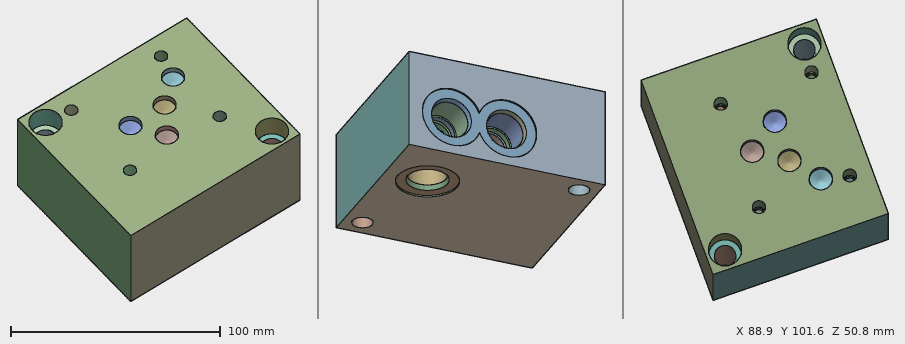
import cadquery as cq
import math

LENGTH_X = 88.9
LENGTH_Y = 101.6
HEIGHT = 50.8

MOUNT_INSET = 9.5
MOUNT_DIAMETER = 10.3
COUNTERBORE_DIAMETER = 15.8
COUNTERBORE_DEPTH = 12.2

MIDDLE_Y = LENGTH_Y / 2
SCREW_X = 11.1
SCREW_PITCH_X = 46.0
SCREW_PITCH_Y = 54.0
SCREW_THREAD_DIAMETER = 6.3
SCREW_DRILL_DIAMETER = 5.1
SCREW_THREAD_DEPTH = 12.2
SCREW_DRILL_DEPTH = 15.2

VALVE_PORT_DIAMETER = 11.1
VALVE_PORT_DEPTH = 3.1
PRESSURE_X = 50.8
WORK_X = 35.7
WORK_OFFSET_Y = 10.3
TANK_X = 24.6
TANK_OFFSET_Y = 23.8

SPOTFACE_DIAMETER = 30.6
SPOTFACE_DEPTH = 0.8
SEAT_MOUTH_DIAMETER = 20.6
SEAT_ROOT_DIAMETER = 19.2
SEAT_DEPTH = 2.5
THREAD_DIAMETER = 19.1
THREAD_DEPTH = 17.4
TAP_DIAMETER = 17.5
TAP_DEPTH = 20.7
BORE_DIAMETER = 15.8
BORE_DEPTH = 25.5

LINE_PORT_Z = 19.8
LINE_PORT_PITCH = 28.5
TANK_LINE_Y = MIDDLE_Y + LINE_PORT_PITCH
BASE_PORT_X = 30.0

DRILL_POINT_ANGLE = 118.0


def cone_height(radius):
    """Height of a drill point of the given radius."""
    return radius / math.tan(math.radians(DRILL_POINT_ANGLE / 2))


def turned(profile):
    """Cutter revolved about Z from (radius, depth) points; depth runs down from the origin."""
    points = [(0, 0)] + [(radius, -depth) for radius, depth in profile]
    return cq.Workplane("XZ").polyline(points).close().revolve(360, (0, 0), (0, 1))


def valve_port():
    radius = VALVE_PORT_DIAMETER / 2
    tip = VALVE_PORT_DEPTH + cone_height(radius)
    return turned([(radius, 0), (radius, VALVE_PORT_DEPTH), (0, tip)])


def screw_hole():
    thread_radius = SCREW_THREAD_DIAMETER / 2
    drill_radius = SCREW_DRILL_DIAMETER / 2
    return turned([
        (thread_radius, 0),
        (thread_radius, SCREW_THREAD_DEPTH),
        (drill_radius, SCREW_THREAD_DEPTH),
        (drill_radius, SCREW_DRILL_DEPTH),
        (0, SCREW_DRILL_DEPTH + cone_height(drill_radius)),
    ])


def line_port():
    tap_radius = TAP_DIAMETER / 2
    bore_radius = BORE_DIAMETER / 2
    seat_end = SPOTFACE_DEPTH + SEAT_DEPTH
    return turned([
        (SPOTFACE_DIAMETER / 2, 0),
        (SPOTFACE_DIAMETER / 2, SPOTFACE_DEPTH),
        (SEAT_MOUTH_DIAMETER / 2, SPOTFACE_DEPTH),
        (SEAT_ROOT_DIAMETER / 2, seat_end),
        (THREAD_DIAMETER / 2, seat_end),
        (THREAD_DIAMETER / 2, THREAD_DEPTH),
        (tap_radius, THREAD_DEPTH),
        (tap_radius, TAP_DEPTH),
        (bore_radius, TAP_DEPTH + cone_height(tap_radius - bore_radius)),
        (bore_radius, BORE_DEPTH),
        (0, BORE_DEPTH + cone_height(bore_radius)),
    ])


block = cq.Workplane("XY").box(LENGTH_X, LENGTH_Y, HEIGHT, centered=False)

mount_points = [(MOUNT_INSET, MOUNT_INSET), (LENGTH_X - MOUNT_INSET, LENGTH_Y - MOUNT_INSET)]
block = (
    block.faces(">Z")
    .workplane(origin=(0, 0, HEIGHT))
    .pushPoints(mount_points)
    .cboreHole(MOUNT_DIAMETER, COUNTERBORE_DIAMETER, COUNTERBORE_DEPTH)
)

for x in (SCREW_X, SCREW_X + SCREW_PITCH_X):
    for side in (-1, 1):
        y = MIDDLE_Y + side * SCREW_PITCH_Y / 2
        block = block.cut(screw_hole().translate((x, y, HEIGHT)))

valve_port_points = [
    (PRESSURE_X, MIDDLE_Y),
    (WORK_X, MIDDLE_Y - WORK_OFFSET_Y),
    (WORK_X, MIDDLE_Y + WORK_OFFSET_Y),
    (TANK_X, MIDDLE_Y + TANK_OFFSET_Y),
]
for x, y in valve_port_points:
    block = block.cut(valve_port().translate((x, y, HEIGHT)))

side_port = line_port().rotate((0, 0, 0), (0, 1, 0), -90)
for y in (MIDDLE_Y, TANK_LINE_Y):
    block = block.cut(side_port.translate((0, y, LINE_PORT_Z)))

base_port = line_port().rotate((0, 0, 0), (1, 0, 0), 180)
block = block.cut(base_port.translate((BASE_PORT_X, TANK_LINE_Y, 0)))

result = block